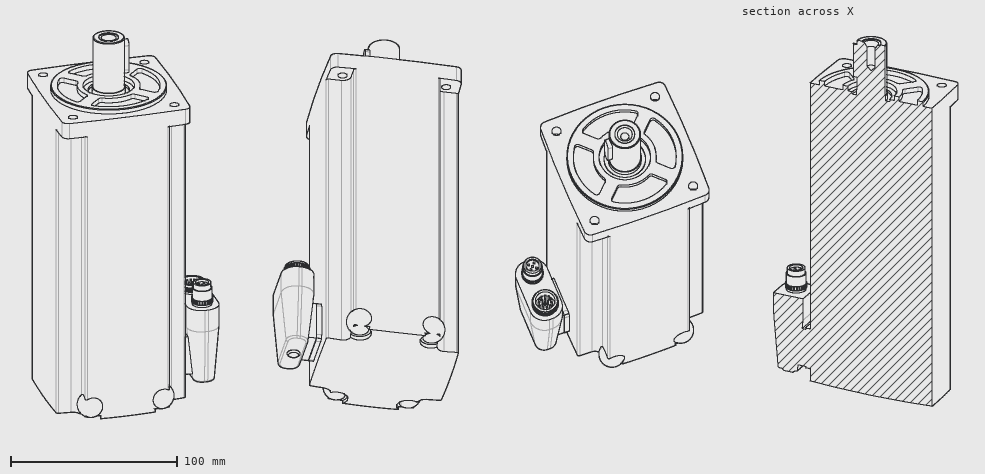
import cadquery as cq
import math


FACE_HALF = 41.0
SIDE_EDGE_HALF = 40.0
CORNER_RADIUS = 4.0
FLANGE_THICKNESS = 10.0
HOUSING_LENGTH = 199.5
DOME_RADIUS = 680.0
BOLT_CIRCLE = 90.0
BOLT_HOLE = 5.5

RELIEF_WALL = 26.5
RELIEF_COVE = 5.0
RELIEF_EDGE_ROUND = 1.3

PLUG_DIAMETER = 16.0
PLUG_X = 35.85
PLUG_Y = 22.1
PLUG_Z = -190.0
PLUG_SEAT_DIAMETER = 14.0
PLUG_SEAT_TOP = -196.0
PLUG_TILT = 50.0

PILOT_DIAMETER = 70.0
PILOT_HEIGHT = 3.0
PILOT_CHAMFER = 0.5
POCKET_OUTER_RADIUS = 31.0
POCKET_INNER_RADIUS = 19.0
POCKET_DEPTH = 3.0
POCKET_CORNER_RADIUS = 2.0
SPOKE_WIDTH = 8.0
SEAL_BORE = 31.0
SEAL_BORE_DEPTH = 3.0
SEAL_RECESS = 25.0
SEAL_RECESS_DEPTH = 4.5

SHAFT_DIAMETER = 19.0
SHAFT_TOP = 35.0
SHAFT_CHAMFER = 0.5
SHOULDER_DIAMETER = 20.0
SHOULDER_TOP = 2.0
CENTRE_MOUTH = 12.0
CENTRE_CONE = 9.0
CENTRE_BORE = 4.92
CENTRE_MOUTH_DEPTH = 0.5
CENTRE_CONE_DEPTH = 3.0
CENTRE_BORE_DEPTH = 16.0
KEY_WIDTH = 6.0
KEY_LENGTH = 22.0
KEY_BOTTOM = 10.0
KEY_TOP_Y = 12.0
KEY_SEAT_Y = 6.0

CONNECTOR_Y = 55.5
CONNECTOR_LENGTH = 41.4
CONNECTOR_WIDTH = 20.0
CONNECTOR_END_FLAT = 2.0
CONNECTOR_TOP = -144.4
CONNECTOR_TAPER_TOP = -158.6
CONNECTOR_BOTTOM = -193.8
CONNECTOR_FOOT_LENGTH = 35.4
CONNECTOR_FOOT_WIDTH = 13.1
CONNECTOR_FOOT_SHIFT = 0.45
CONNECTOR_FOOT_FILLET = 1.2
FOOT_BOSS_DIAMETER = 8.0
FOOT_BOSS_BOTTOM = -195.0
FOOT_BOSS_CHAMFER = 1.0
NECK_SIZE = 25.0
NECK_Z = -176.8
BASE_PLATE_SIZE = 26.7
BASE_PLATE_RADIUS = 3.0
BASE_PLATE_TOP_Y = 44.0
MOUNT_OVERLAP = 2.0
CONTACT_X = 10.6
CONTACT_START_ANGLE = 45.0
SERRATION_WIDTH = 0.6
SERRATION_DEPTH = 0.6

COLLAR_FLANGE = 14.77
COLLAR_FLANGE_TOP = -138.5
COLLAR_DIAMETER = 16.0
COLLAR_BOTTOM = -142.8
COLLAR_TOP = -140.2
COLLAR_BORE = 11.8
COLLAR_PIN_DIAMETER = 0.8
COLLAR_PIN_CIRCLES = ((0.0, 1), (3.5, 5), (8.0, 11))
COLLAR_PIN_TOP = -139.5
COLLAR_SERRATION_COUNT = 32

NUT_DIAMETER = 13.0
NUT_SERRATION_COUNT = 24
SLEEVE_DIAMETER = 12.0
SLEEVE_TOP = -133.8
MOUTH_DIAMETER = 10.77
MOUTH_TOP = -130.3
MOUTH_BORE = 8.0
MOUTH_DEPTH = 1.5
MOUTH_HOLE_DIAMETER = 1.25
MOUTH_HOLE_CIRCLE = 5.0
MOUTH_HOLE_COUNT = 4
MOUTH_HOLE_DEPTH = 3.0


def cylinder(diameter, bottom, top, x=0.0, y=0.0):
    return cq.Workplane("XY", origin=(x, y, bottom)).circle(diameter / 2).extrude(top - bottom)


def bowed_prism(bottom, top):
    """Square prism whose four sides bow slightly outwards."""
    edge = SIDE_EDGE_HALF
    face = FACE_HALF
    return (
        cq.Workplane("XY", origin=(0, 0, bottom))
        .moveTo(-edge, -edge)
        .threePointArc((0, -face), (edge, -edge))
        .threePointArc((face, 0), (edge, edge))
        .threePointArc((0, face), (-edge, edge))
        .threePointArc((-face, 0), (-edge, -edge))
        .close()
        .extrude(top - bottom)
    )


def bolt_holes():
    spacing = BOLT_CIRCLE * math.sqrt(0.5)
    return (
        cq.Workplane("XY", origin=(0, 0, -FLANGE_THICKNESS))
        .rect(spacing, spacing, forConstruction=True)
        .vertices()
        .circle(BOLT_HOLE / 2)
        .extrude(FLANGE_THICKNESS)
    )


def flange():
    plate = bowed_prism(-FLANGE_THICKNESS, 0).edges("|Z").fillet(CORNER_RADIUS)
    return plate.cut(bolt_holes())


def rear_housing():
    """Bowed prism with relieved corners and a domed rear face."""
    corner_size = 2 * (FACE_HALF - RELIEF_WALL)
    corners = (
        cq.Workplane("XY", origin=(0, 0, -HOUSING_LENGTH))
        .rect(2 * FACE_HALF, 2 * FACE_HALF, forConstruction=True)
        .vertices()
        .rect(corner_size, corner_size)
        .extrude(HOUSING_LENGTH)
    )
    body = bowed_prism(-HOUSING_LENGTH, -FLANGE_THICKNESS).cut(corners)
    inner_half = RELIEF_WALL + RELIEF_COVE
    inner = cq.selectors.BoxSelector(
        (-inner_half, -inner_half, -HOUSING_LENGTH), (inner_half, inner_half, 0)
    )
    upright = cq.selectors.StringSyntaxSelector("|Z")
    body = body.edges(upright - inner).fillet(RELIEF_EDGE_ROUND)
    body = body.edges(upright & inner).fillet(RELIEF_COVE)
    dome = cq.Workplane("XY", origin=(0, 0, DOME_RADIUS - HOUSING_LENGTH)).sphere(DOME_RADIUS)
    return body.intersect(dome)


def with_corner_plugs(body):
    """Ball plugs above round seats in the rear edge, one near each corner."""
    for x in (-PLUG_X, PLUG_X):
        for y in (-PLUG_Y, PLUG_Y):
            body = body.cut(cylinder(PLUG_SEAT_DIAMETER, -HOUSING_LENGTH, PLUG_SEAT_TOP, x, y))
            ball = cq.Workplane("XY").sphere(PLUG_DIAMETER / 2).rotate((0, 0, 0), (1, 1, 0), PLUG_TILT)
            body = body.union(ball.translate((x, y, PLUG_Z)))
    return body


def pilot_pocket():
    """Sector pocket on the +Y side, bounded by two spokes at 45 degrees."""
    ring = cylinder(2 * POCKET_OUTER_RADIUS, PILOT_HEIGHT - POCKET_DEPTH, PILOT_HEIGHT)
    ring = ring.cut(cylinder(2 * POCKET_INNER_RADIUS, PILOT_HEIGHT - POCKET_DEPTH, PILOT_HEIGHT))
    apex = SPOKE_WIDTH * math.sqrt(0.5)
    reach = PILOT_DIAMETER
    wedge = (
        cq.Workplane("XY", origin=(0, 0, PILOT_HEIGHT - POCKET_DEPTH))
        .polyline([(0, apex), (reach, apex + reach), (-reach, apex + reach)])
        .close()
        .extrude(POCKET_DEPTH)
    )
    return ring.intersect(wedge).edges("|Z").fillet(POCKET_CORNER_RADIUS)


def add_pilot(body):
    pilot = cylinder(PILOT_DIAMETER, -FLANGE_THICKNESS / 2, PILOT_HEIGHT)
    pilot = pilot.faces(">Z").edges().chamfer(PILOT_CHAMFER)
    body = body.union(pilot)
    pocket = pilot_pocket()
    for quarter in range(4):
        body = body.cut(pocket.rotate((0, 0, 0), (0, 0, 1), 90 * quarter))
    body = body.cut(cylinder(SEAL_BORE, PILOT_HEIGHT - SEAL_BORE_DEPTH, PILOT_HEIGHT))
    return body.cut(cylinder(SEAL_RECESS, PILOT_HEIGHT - SEAL_RECESS_DEPTH, PILOT_HEIGHT))


def shaft():
    """Keyed shaft with a shoulder and a centre hole in its end."""
    base = -FLANGE_THICKNESS
    body = cylinder(SHAFT_DIAMETER, base, SHAFT_TOP).faces(">Z").edges().chamfer(SHAFT_CHAMFER)
    body = body.union(cylinder(SHOULDER_DIAMETER, base, SHOULDER_TOP))
    key = (
        cq.Workplane("XZ", origin=(0, KEY_TOP_Y, KEY_BOTTOM + KEY_LENGTH / 2))
        .slot2D(KEY_LENGTH, KEY_WIDTH, 90)
        .extrude(KEY_TOP_Y - KEY_SEAT_Y)
    )
    mouth_z = SHAFT_TOP - CENTRE_MOUTH_DEPTH
    cone_z = mouth_z - CENTRE_CONE_DEPTH
    bore_z = SHAFT_TOP - CENTRE_BORE_DEPTH
    centre_hole = (
        cq.Workplane("XZ")
        .moveTo(0, SHAFT_TOP)
        .lineTo(CENTRE_MOUTH / 2, SHAFT_TOP)
        .lineTo(CENTRE_MOUTH / 2, mouth_z)
        .lineTo(CENTRE_CONE / 2, mouth_z)
        .lineTo(CENTRE_BORE / 2, cone_z)
        .lineTo(CENTRE_BORE / 2, bore_z)
        .lineTo(0, bore_z - CENTRE_BORE / 2)
        .close()
        .revolve()
    )
    return body.union(key).cut(centre_hole)


def connector_outline(length, width):
    """Rectangle with large corner rounds that leave a short flat at each end."""
    return cq.Sketch().rect(length, width).vertices().fillet((width - CONNECTOR_END_FLAT) / 2)


def connector_shell():
    """Upright rounded block, tapering towards its foot."""
    upper = connector_outline(CONNECTOR_LENGTH, CONNECTOR_WIDTH)
    lower = connector_outline(CONNECTOR_FOOT_LENGTH, CONNECTOR_FOOT_WIDTH)
    foot_place = cq.Location(cq.Vector(0, CONNECTOR_FOOT_SHIFT, CONNECTOR_BOTTOM - CONNECTOR_TAPER_TOP))
    start = cq.Workplane("XY", origin=(0, CONNECTOR_Y, CONNECTOR_TAPER_TOP))
    head = start.placeSketch(upper).extrude(CONNECTOR_TOP - CONNECTOR_TAPER_TOP)
    tail = start.placeSketch(upper, lower.moved(foot_place)).loft(ruled=True)
    tail = tail.faces("<Z").edges().fillet(CONNECTOR_FOOT_FILLET)
    boss = cylinder(FOOT_BOSS_DIAMETER, FOOT_BOSS_BOTTOM, CONNECTOR_TAPER_TOP, 0, CONNECTOR_Y)
    boss = boss.faces("<Z").edges().chamfer(FOOT_BOSS_CHAMFER)
    return head.union(tail).union(boss)


def connector_mount():
    """Square neck and rounded base plate joining the connector to the housing."""
    inside = FACE_HALF - MOUNT_OVERLAP
    neck = cq.Workplane("XY").box(NECK_SIZE, CONNECTOR_Y - inside, NECK_SIZE)
    neck = neck.translate((0, (CONNECTOR_Y + inside) / 2, NECK_Z))
    plate = cq.Workplane("XY").box(BASE_PLATE_SIZE, BASE_PLATE_TOP_Y - inside, BASE_PLATE_SIZE)
    plate = plate.edges("|Y").fillet(BASE_PLATE_RADIUS)
    plate = plate.translate((0, (BASE_PLATE_TOP_Y + inside) / 2, NECK_Z))
    return neck.union(plate)


def ring_of_cylinders(diameter, circle, count, bottom, top):
    return (
        cq.Workplane("XY", origin=(0, 0, bottom))
        .polarArray(circle / 2, CONTACT_START_ANGLE, 360, count)
        .circle(diameter / 2)
        .extrude(top - bottom)
    )


def serrated_ring(diameter, count):
    """Grip ring with evenly spaced grooves along its rim."""
    grooves = (
        cq.Workplane("XY", origin=(0, 0, COLLAR_BOTTOM))
        .polarArray(diameter / 2, 0, 360, count)
        .rect(2 * SERRATION_DEPTH, SERRATION_WIDTH)
        .extrude(COLLAR_TOP - COLLAR_BOTTOM)
    )
    return cylinder(diameter, COLLAR_BOTTOM, COLLAR_TOP).cut(grooves)


def wide_barrel():
    """Short open barrel with a serrated collar and contact pins inside."""
    barrel = cylinder(COLLAR_FLANGE, CONNECTOR_TOP, COLLAR_FLANGE_TOP)
    barrel = barrel.union(serrated_ring(COLLAR_DIAMETER, COLLAR_SERRATION_COUNT))
    barrel = barrel.cut(cylinder(COLLAR_BORE, CONNECTOR_TOP, COLLAR_FLANGE_TOP))
    root = CONNECTOR_TOP - COLLAR_PIN_DIAMETER
    for circle, count in COLLAR_PIN_CIRCLES:
        barrel = barrel.union(ring_of_cylinders(COLLAR_PIN_DIAMETER, circle, count, root, COLLAR_PIN_TOP))
    return barrel.translate((-CONTACT_X, CONNECTOR_Y, 0))


def tall_barrel():
    """Stepped barrel with contact holes in its recessed face."""
    barrel = cylinder(SLEEVE_DIAMETER, CONNECTOR_TOP, SLEEVE_TOP)
    barrel = barrel.union(serrated_ring(NUT_DIAMETER, NUT_SERRATION_COUNT))
    barrel = barrel.union(cylinder(MOUTH_DIAMETER, SLEEVE_TOP, MOUTH_TOP))
    face = MOUTH_TOP - MOUTH_DEPTH
    hole_end = face - MOUTH_HOLE_DEPTH
    barrel = barrel.cut(cylinder(MOUTH_BORE, face, MOUTH_TOP))
    barrel = barrel.cut(cylinder(MOUTH_HOLE_DIAMETER, hole_end, face))
    barrel = barrel.cut(
        ring_of_cylinders(MOUTH_HOLE_DIAMETER, MOUTH_HOLE_CIRCLE, MOUTH_HOLE_COUNT, hole_end, face)
    )
    return barrel.translate((CONTACT_X, CONNECTOR_Y, 0))


motor = with_corner_plugs(flange().union(rear_housing()))
motor = add_pilot(motor).union(shaft())
connector = connector_shell().union(connector_mount())
connector = connector.union(wide_barrel()).union(tall_barrel())
result = motor.union(connector)